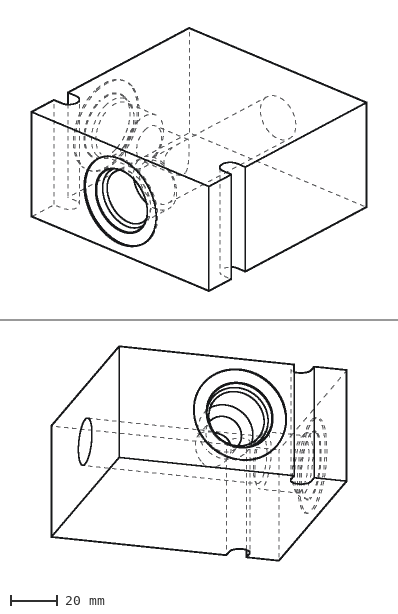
import cadquery as cq
import math

side = 101.6
height = 50.8
half_side = side / 2

slot_width = 8.9
slot_depth = 9.1
slot_y = -31.8

spot_diameter = 41.2
spot_depth = 0.8
mouth_diameter = 29.7
rim_diameter = 29.1
rim_depth = 0.3
seal_diameter = 27.4
seal_angle = 15.0
lead_angle = 45.0
thread_diameter = 24.7
thread_depth = 22.4
drill_angle = 59.0

main_bore_diameter = 20.3
side_bore_diameter = 16.1
side_port_y = -3.3


def cone_length(large_diameter, small_diameter, angle):
    """Axial length of a cone with the given angle between wall and axis."""
    return (large_diameter - small_diameter) / 2 / math.tan(math.radians(angle))


def port_cutter(bore_diameter, bore_end):
    """Port and bore along +Y, with the outer face at Y = 0."""
    rim_end = spot_depth + rim_depth
    seal_end = rim_end + cone_length(rim_diameter, seal_diameter, seal_angle)
    lead_end = seal_end + cone_length(seal_diameter, thread_diameter, lead_angle)
    drill_end = thread_depth + cone_length(thread_diameter, bore_diameter, drill_angle)
    profile = [
        (0, 0),
        (spot_diameter / 2, 0),
        (spot_diameter / 2, spot_depth),
        (mouth_diameter / 2, spot_depth),
        (rim_diameter / 2, rim_end),
        (seal_diameter / 2, seal_end),
        (thread_diameter / 2, lead_end),
        (thread_diameter / 2, thread_depth),
        (bore_diameter / 2, drill_end),
        (bore_diameter / 2, bore_end),
        (0, bore_end),
    ]
    return cq.Workplane("XY").polyline(profile).close().revolve(360, (0, 0, 0), (0, 1, 0))


def slot_cutter(x_face):
    """Round-ended slot through the height, reaching inward from an X face."""
    return (
        cq.Workplane("XY")
        .center(x_face, slot_y)
        .slot2D(2 * slot_depth, slot_width)
        .extrude(height, both=True)
    )


block = cq.Workplane("XY").box(side, side, height)

front_port = port_cutter(main_bore_diameter, side).translate((0, -half_side, 0))
side_port = (
    port_cutter(side_bore_diameter, half_side)
    .rotate((0, 0, 0), (0, 0, 1), -90)
    .translate((-half_side, side_port_y, 0))
)

result = block.cut(front_port).cut(side_port)
for x_face in (-half_side, half_side):
    result = result.cut(slot_cutter(x_face))